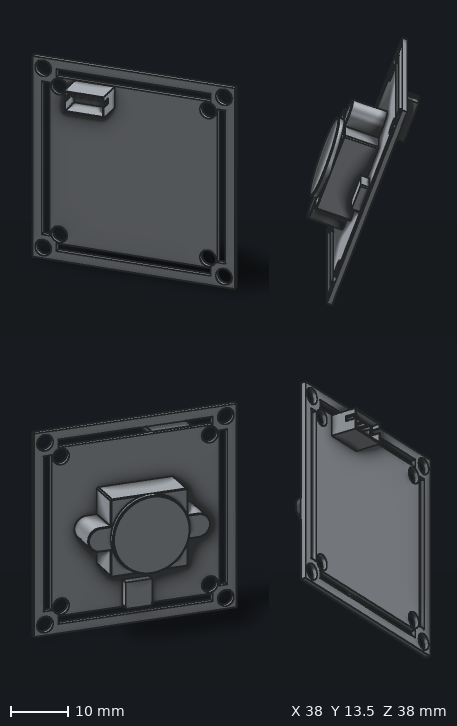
import cadquery as cq


BOARD_SIZE = 38.0
BOARD_THICKNESS = 1.0
HOLE_DIAMETER = 3.0
OUTER_HOLE_OFFSET = 17.0
INNER_HOLE_OFFSET = 14.0
SLOT_LENGTH = 29.0
SLOT_WIDTH = 1.5
SLOT_OFFSET = 16.5

SOCKET_WIDTH = 7.5
SOCKET_HEIGHT = 4.0
SOCKET_DEPTH = 5.0
SOCKET_X = -7.25
SOCKET_Z = 13.68
SOCKET_WALL = 0.25
SOCKET_FLOOR = 1.0
NOTCH_HEIGHT = 0.9
NOTCH_DEPTH = 2.0
NOTCH_Z = 14.17
PIN_COUNT = 4
PIN_PITCH = 1.67
PIN_DIAMETER = 0.55
PIN_Z = 14.65
PIN_RECESS = 1.0

HOLDER_SIZE = 14.5
HOLDER_DEPTH = 6.42
HOLDER_CORNER_CHAMFER = 0.25
HOLDER_EDGE_CHAMFER = 0.15
EAR_SPAN = 23.0
EAR_WIDTH = 4.5
RIM_HEIGHT = 1.05
RIM_CHAMFER = 0.2

CONNECTOR_SIZE = 4.98
CONNECTOR_DEPTH = 1.55
CONNECTOR_Z = -13.15
CONNECTOR_CORNER_CHAMFER = 0.25


def plane_at(y, x=0, z=0):
    """Workplane at depth y whose local axes are X and Z; positive extrusion goes to -Y."""
    return cq.Workplane("XZ", origin=(x, y, z))


def square_corners(offset):
    return [(x, z) for x in (-offset, offset) for z in (-offset, offset)]


def make_board():
    board = plane_at(0).rect(BOARD_SIZE, BOARD_SIZE).extrude(-BOARD_THICKNESS)
    hole_centres = square_corners(OUTER_HOLE_OFFSET) + square_corners(INNER_HOLE_OFFSET)
    holes = plane_at(0).pushPoints(hole_centres).circle(HOLE_DIAMETER / 2).extrude(-BOARD_THICKNESS)
    board = board.cut(holes)
    for side in (-1, 1):
        level_slot = plane_at(0, z=side * SLOT_OFFSET).rect(SLOT_LENGTH, SLOT_WIDTH)
        upright_slot = plane_at(0, x=side * SLOT_OFFSET).rect(SLOT_WIDTH, SLOT_LENGTH)
        board = board.cut(level_slot.extrude(-BOARD_THICKNESS))
        board = board.cut(upright_slot.extrude(-BOARD_THICKNESS))
    return board


def make_socket():
    """Open-fronted shell with a notch through both side walls and a row of pins inside."""
    shell = plane_at(0, SOCKET_X, SOCKET_Z).rect(SOCKET_WIDTH, SOCKET_HEIGHT).extrude(SOCKET_DEPTH)
    cavity_width = SOCKET_WIDTH - 2 * SOCKET_WALL
    cavity_height = SOCKET_HEIGHT - 2 * SOCKET_WALL
    cavity = (
        plane_at(-SOCKET_FLOOR, SOCKET_X, SOCKET_Z)
        .rect(cavity_width, cavity_height)
        .extrude(SOCKET_DEPTH - SOCKET_FLOOR)
    )
    notch = (
        plane_at(NOTCH_DEPTH - SOCKET_DEPTH, SOCKET_X, NOTCH_Z)
        .rect(SOCKET_WIDTH, NOTCH_HEIGHT)
        .extrude(NOTCH_DEPTH)
    )
    pins = (
        plane_at(0, SOCKET_X, PIN_Z)
        .rarray(PIN_PITCH, 0.38, PIN_COUNT, 1)
        .circle(PIN_DIAMETER / 2)
        .extrude(SOCKET_DEPTH - PIN_RECESS)
    )
    return shell.cut(cavity).cut(notch).union(pins)


def make_lens_holder():
    """Square block with a round-ended ear on each side and a round rim on its far face."""
    block = plane_at(BOARD_THICKNESS).rect(HOLDER_SIZE, HOLDER_SIZE).extrude(-HOLDER_DEPTH)
    block = block.edges("|Y").chamfer(HOLDER_CORNER_CHAMFER)
    ears = plane_at(BOARD_THICKNESS).slot2D(EAR_SPAN, EAR_WIDTH).extrude(-HOLDER_DEPTH)
    base = block.union(ears).faces(">Y").chamfer(HOLDER_EDGE_CHAMFER)
    rim_start = BOARD_THICKNESS + HOLDER_DEPTH - HOLDER_EDGE_CHAMFER
    rim = (
        plane_at(rim_start)
        .circle(HOLDER_SIZE / 2)
        .extrude(-(RIM_HEIGHT + HOLDER_EDGE_CHAMFER))
        .faces(">Y")
        .chamfer(RIM_CHAMFER)
    )
    return base.union(rim)


def make_connector():
    """Plain block whose two lower corners are bevelled."""
    block = (
        plane_at(BOARD_THICKNESS, z=CONNECTOR_Z)
        .rect(CONNECTOR_SIZE, CONNECTOR_SIZE)
        .extrude(-CONNECTOR_DEPTH)
    )
    return block.faces("<Z").edges("|Y").chamfer(CONNECTOR_CORNER_CHAMFER)


board = make_board()
socket = make_socket()
lens_holder = make_lens_holder()
connector = make_connector()

result = cq.Compound.makeCompound([board.val(), socket.val(), lens_holder.val(), connector.val()])